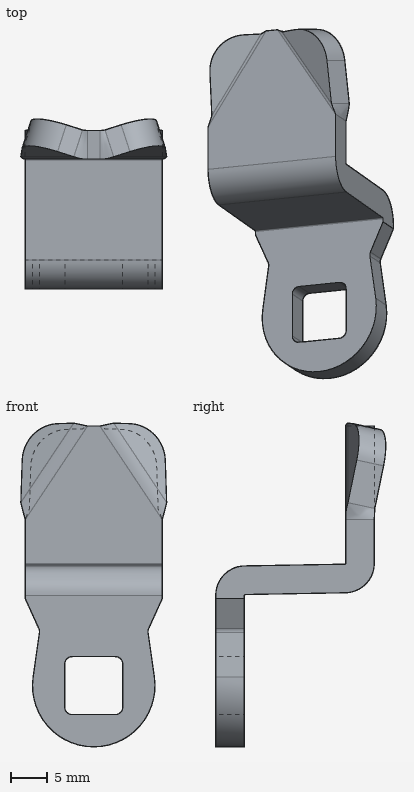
import math

import cadquery as cq

thickness = 4.0
bend_inner_radius = 0.1
plate_half_width = 9.5

tab_radius = 8.5
hole_side = 8.0
hole_corner_radius = 1.0
neck_half_width = 7.5
neck_height = 7.63
neck_radius = 1.0
shoulder_height = 12.04

shelf_depth = 14.0
shelf_corner_height = 12.6
shelf_slope = math.radians(1.0)

plate_front = thickness + shelf_depth
plate_top = 35.97
fold_start_height = 23.0
fold_direction = math.atan(1.5)
fold_angle = math.radians(21.3)
fold_inner_radius = 1.0
neutral_fibre = 0.47
ear_corner_radius = 5.0
bend_steps = 4

plate_back = plate_front + thickness
bend_outer_radius = bend_inner_radius + thickness
shelf_front_top = shelf_corner_height + thickness / math.cos(shelf_slope) - thickness * math.tan(shelf_slope)
shelf_back_top = shelf_front_top + plate_front * math.tan(shelf_slope)
shelf_back_bottom = shelf_corner_height + (plate_back - thickness) * math.tan(shelf_slope)
fold_cos = math.cos(fold_direction)
fold_sin = math.sin(fold_direction)
fold_length = (plate_top - fold_start_height) / fold_sin
fold_outer_radius = fold_inner_radius + thickness
fold_axis_y = plate_front + fold_outer_radius
flat_bend_width = (fold_inner_radius + neutral_fibre * thickness) * fold_angle
fold_end_half_width = plate_half_width - fold_length * fold_cos


def make_tab():
    """Lower tab: a round end, a waist and shoulders as wide as the plate."""
    neck_distance = math.hypot(neck_half_width, neck_height)
    tangent_angle = math.atan2(neck_height, neck_half_width) - math.acos(tab_radius / neck_distance)
    tangent_x = tab_radius * math.cos(tangent_angle)
    tangent_z = tab_radius * math.sin(tangent_angle)
    tab = (
        cq.Workplane("XZ")
        .moveTo(tangent_x, tangent_z)
        .lineTo(neck_half_width, neck_height)
        .lineTo(plate_half_width, shoulder_height)
        .lineTo(-plate_half_width, shoulder_height)
        .lineTo(-neck_half_width, neck_height)
        .lineTo(-tangent_x, tangent_z)
        .threePointArc((0, -tab_radius), (tangent_x, tangent_z))
        .close()
        .extrude(-thickness)
    )
    for side in (-1, 1):
        neck_edge = cq.selectors.NearestToPointSelector((side * neck_half_width, thickness / 2, neck_height))
        tab = tab.edges("|Y").edges(neck_edge).fillet(neck_radius)
    hole = (
        cq.Workplane("XZ")
        .rect(hole_side, hole_side)
        .extrude(-thickness)
        .edges("|Y")
        .fillet(hole_corner_radius)
    )
    return tab.cut(hole)


def make_shelf():
    """Z-shaped strip: the nearly level shelf with its bends, from the shoulders up to the folds."""
    strip = (
        cq.Workplane("YZ")
        .polyline(
            [
                (0, shoulder_height),
                (0, shelf_front_top),
                (plate_front, shelf_back_top),
                (plate_front, fold_start_height),
                (plate_back, fold_start_height),
                (plate_back, shelf_back_bottom),
                (thickness, shelf_corner_height),
                (thickness, shoulder_height),
            ]
        )
        .close()
        .extrude(plate_half_width, both=True)
    )
    bends = [
        (0, shelf_front_top, bend_outer_radius),
        (thickness, shelf_corner_height, bend_inner_radius),
        (plate_front, shelf_back_top, bend_inner_radius),
        (plate_back, shelf_back_bottom, bend_outer_radius),
    ]
    for bend_y, bend_z, radius in bends:
        bend_edge = cq.selectors.NearestToPointSelector((0, bend_y, bend_z))
        strip = strip.edges("|X").edges(bend_edge).fillet(radius)
    return strip


def make_plate():
    """Flat top of the upper plate, between the two slanted fold lines."""
    return (
        cq.Workplane("XZ", origin=(0, plate_front, 0))
        .polyline(
            [
                (plate_half_width, fold_start_height),
                (fold_end_half_width, plate_top),
                (-fold_end_half_width, plate_top),
                (-plate_half_width, fold_start_height),
            ]
        )
        .close()
        .extrude(-thickness)
    )


def fold_point(along, radius, angle):
    """Point in the left bend: distance along its fold line, then radius and angle about its axis."""
    outward = radius * math.sin(angle)
    return cq.Vector(
        -plate_half_width + along * fold_cos - outward * fold_sin,
        fold_axis_y - radius * math.cos(angle),
        fold_start_height + along * fold_sin + outward * fold_cos,
    )


def fold_limits(flat_width):
    """Ends of the unfolded plate, measured along the fold line at a distance outward from it."""
    lower_end = flat_width * math.tan(fold_direction)
    upper_end = fold_length - flat_width / math.tan(fold_direction)
    return lower_end, upper_end


def make_left_bend():
    """Bend of the left ear, narrowing as the unfolded plate outline does."""
    sections = []
    for step in range(bend_steps + 1):
        fraction = step / bend_steps
        angle = fold_angle * fraction
        lower_end, upper_end = fold_limits(flat_bend_width * fraction)
        corners = [
            fold_point(lower_end, fold_outer_radius, angle),
            fold_point(upper_end, fold_outer_radius, angle),
            fold_point(upper_end, fold_inner_radius, angle),
            fold_point(lower_end, fold_inner_radius, angle),
        ]
        sections.append(cq.Wire.makePolygon(corners, close=True))
    return cq.Workplane(obj=cq.Solid.makeLoft(sections))


def make_left_ear():
    """Flat left ear: a square plate corner with a round tip, tilted back behind the fold."""
    lower_end, upper_end = fold_limits(flat_bend_width)
    side_length = (upper_end - lower_end) * fold_sin
    tip = (lower_end + side_length * fold_sin, side_length * fold_cos)
    front_normal = (
        -math.sin(fold_angle) * fold_sin,
        -math.cos(fold_angle),
        math.sin(fold_angle) * fold_cos,
    )
    ear_plane = cq.Plane(
        origin=fold_point(0, fold_outer_radius, fold_angle),
        xDir=(fold_cos, 0, fold_sin),
        normal=front_normal,
    )
    ear = (
        cq.Workplane(ear_plane)
        .polyline([(lower_end, 0), (upper_end, 0), tip])
        .close()
        .extrude(-thickness)
    )
    tip_edge = cq.selectors.NearestToPointSelector(ear_plane.toWorldCoords((*tip, -thickness / 2)).toTuple())
    return ear.edges(tip_edge).fillet(ear_corner_radius)


left_ear = make_left_bend().union(make_left_ear())
right_ear = left_ear.mirror("YZ")

result = make_tab().union(make_shelf()).union(make_plate()).union(left_ear).union(right_ear)